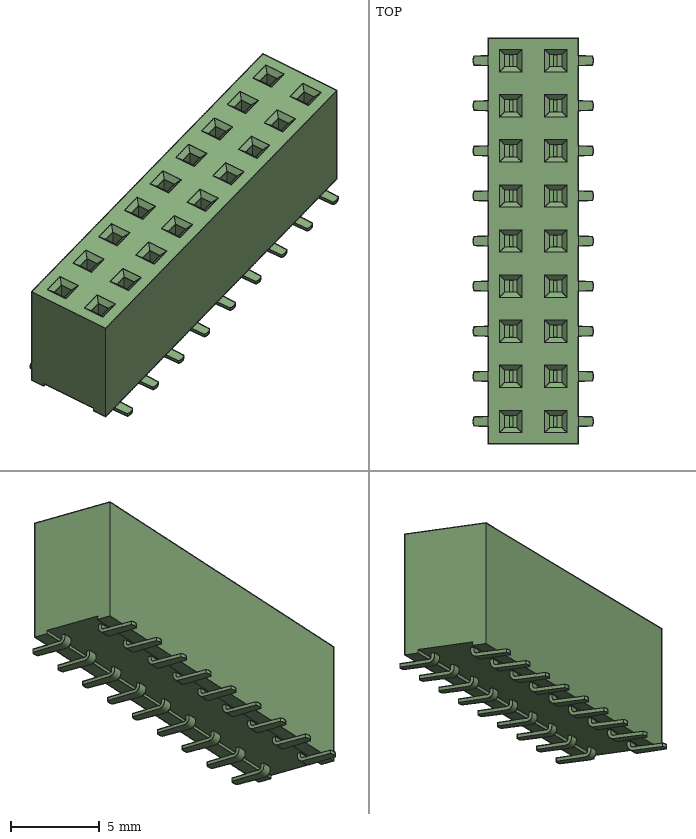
import cadquery as cq
import math

rows = 9
body_length = 22.85
overall_width = 6.8
overall_height = 7.45
standoff = 0.35

pitch = body_length / rows
body_width = 2 * pitch

foot_width = 0.85
channel_depth = 0.2

mouth_size = 1.25
socket_size = 0.69
taper_depth = (mouth_size - socket_size) / 2
socket_depth = 4.57

strip_thickness = 0.2
strip_width = 0.65
tip_width = 0.53
tip_bulge = 0.07
strip_x = 1.23
bend_inner_radius = 0.15
blade_top_depth = 1.37

row_positions = [(row - (rows - 1) / 2) * pitch for row in range(rows)]


def make_housing():
    """Rectangular block with a full-length channel in its underside."""
    block_height = overall_height - standoff
    block = cq.Workplane("XY").workplane(offset=standoff).rect(body_width, body_length).extrude(block_height)
    channel = (
        cq.Workplane("XY")
        .workplane(offset=standoff)
        .rect(body_width - 2 * foot_width, body_length)
        .extrude(channel_depth)
    )
    return block.cut(channel)


def make_socket():
    """Cutting tool for one socket on the Z axis."""
    mouth = (
        cq.Workplane("XY")
        .workplane(offset=overall_height)
        .rect(mouth_size, mouth_size)
        .workplane(offset=-taper_depth)
        .rect(socket_size, socket_size)
        .loft(ruled=True)
    )
    hole = (
        cq.Workplane("XY")
        .workplane(offset=overall_height - socket_depth)
        .rect(socket_size, socket_size)
        .extrude(socket_depth - taper_depth)
    )
    return mouth.union(hole)


def make_contact():
    """One L-shaped contact on the +X side, centred on Y = 0."""
    tip_x = overall_width / 2
    inner_face = strip_x - strip_thickness / 2
    outer_face = strip_x + strip_thickness / 2
    outer_radius = bend_inner_radius + strip_thickness
    bend_x = inner_face + outer_radius
    blade_top = overall_height - blade_top_depth
    diagonal = math.sqrt(0.5)

    side_profile = (
        cq.Workplane("XZ")
        .moveTo(tip_x, 0)
        .lineTo(bend_x, 0)
        .threePointArc(
            (bend_x - outer_radius * diagonal, outer_radius * (1 - diagonal)),
            (inner_face, outer_radius),
        )
        .lineTo(inner_face, blade_top)
        .lineTo(outer_face, blade_top)
        .lineTo(outer_face, outer_radius)
        .threePointArc(
            (bend_x - bend_inner_radius * diagonal, outer_radius - bend_inner_radius * diagonal),
            (bend_x, strip_thickness),
        )
        .lineTo(tip_x, strip_thickness)
        .close()
        .extrude(strip_width / 2, both=True)
    )

    corner_x = tip_x - tip_bulge
    plan_outline = (
        cq.Workplane("XY")
        .moveTo(inner_face, -strip_width / 2)
        .lineTo(bend_x, -strip_width / 2)
        .lineTo(corner_x, -tip_width / 2)
        .threePointArc((tip_x, 0), (corner_x, tip_width / 2))
        .lineTo(bend_x, strip_width / 2)
        .lineTo(inner_face, strip_width / 2)
        .close()
        .extrude(overall_height)
    )
    return side_profile.intersect(plan_outline)


housing = make_housing()
socket = make_socket()
for y in row_positions:
    for x in (-pitch / 2, pitch / 2):
        housing = housing.cut(socket.translate((x, y, 0)))

right_contact = make_contact()
left_contact = right_contact.mirror("YZ")
result = housing
for y in row_positions:
    for contact in (left_contact, right_contact):
        result = result.union(contact.translate((0, y, 0)))